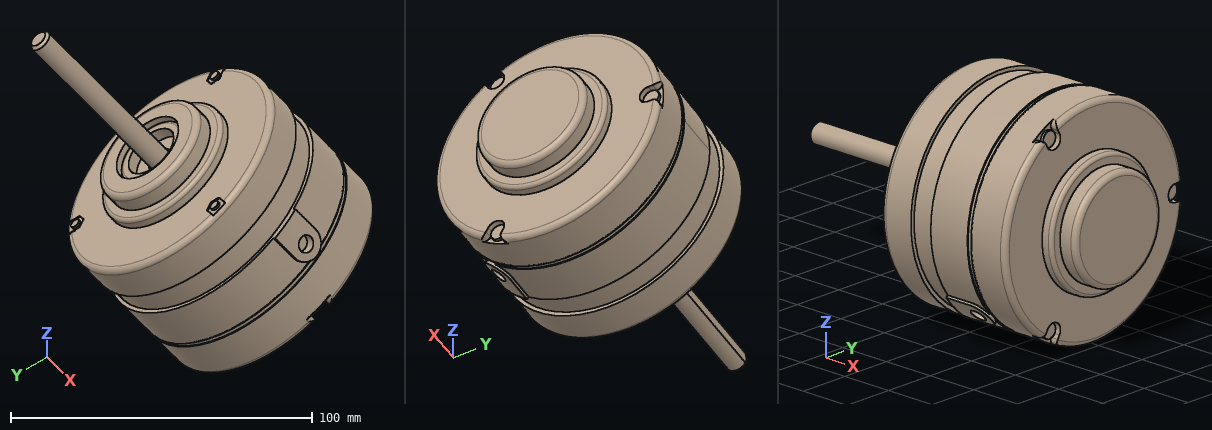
import cadquery as cq
import math

overall_length = 138.3
motor_front = 59.2

body_dia = 86.0
boss_dia = 41.5
collar_dia = 50.0
collar_height = 4.1
body_front = 70.5
body_rear = 127.2
body_fillet = 2.1
boss_fillet = 2.1
collar_fillet = 1.4

band_start = 84.2
band_end = 93.4
band_dia = 83.0
seam_start = 110.1
seam_end = 111.7
seam_dia = 85.2

recess_dia = 26.0
recess_depth = 2.0
bearing_fillet = 1.1
bearing_bore_dia = 19.0
bearing_bore_depth = 4.4
shaft_clearance_dia = 9.0
shaft_clearance_depth = 1.4

shaft_dia = 8.0
shaft_chamfer = 1.04
flat_length = 46.5
flat_depth = 0.7

bolt_circle_radius = 39.0
bolt_angles = (0, 120, 240)
bolt_dia = 3.3
bolt_protrusion = 0.4
nut_width = 5.8
nut_pocket_depth = 0.4
head_pocket_width = 6.6
head_pocket_lip = 2.1
head_pocket_depth = 3.0
head_dia = 6.0
head_height = 1.1

tab_angle = 224
tab_width = 12.3
tab_thickness = 1.0
tab_hole_dia = 6.0
tab_hole_x = 104.3
tab_hole_depth = 3.7

body_radius = body_dia / 2
clearance = 1.4


def disc(start, end, diameter):
    """Solid cylinder along X between two X positions."""
    return cq.Workplane("YZ", origin=(start, 0, 0)).circle(diameter / 2).extrude(end - start)


def ring(start, end, inner_dia, outer_dia):
    """Tube along X between two X positions."""
    return disc(start, end, outer_dia).cut(disc(start, end, inner_dia))


def turned_about_axis(shape, angle):
    """Turn a shape built on the +Y side about the motor axis."""
    return shape.rotate((0, 0, 0), (1, 0, 0), angle)


def make_housing():
    body = disc(body_front, body_rear, body_dia).edges().fillet(body_fillet)
    collars = disc(body_front - collar_height, body_rear + collar_height, collar_dia)
    bosses = disc(motor_front, overall_length, boss_dia)
    housing = body.union(collars.edges().fillet(collar_fillet))
    housing = housing.union(bosses.edges().fillet(boss_fillet))
    clear_dia = body_dia + 2 * clearance
    housing = housing.cut(ring(band_start, band_end, band_dia, clear_dia))
    return housing.cut(ring(seam_start, seam_end, seam_dia, clear_dia))


def make_bearing_recess():
    bearing_face = motor_front + recess_depth
    bore_floor = bearing_face + bearing_bore_depth
    clearance_floor = bore_floor + shaft_clearance_depth
    recess = disc(motor_front, bearing_face + bearing_fillet, recess_dia)
    bearing_edge = disc(bearing_face, bore_floor, recess_dia).faces("<X").edges().fillet(bearing_fillet)
    recess = recess.cut(bearing_edge)
    recess = recess.union(disc(motor_front, bore_floor, bearing_bore_dia))
    return recess.union(disc(motor_front, clearance_floor, shaft_clearance_dia))


def make_shaft():
    shaft = disc(0, body_front, shaft_dia).faces("<X").edges().chamfer(shaft_chamfer)
    flat = cq.Workplane("XY").box(flat_length, flat_depth, shaft_dia, centered=(False, False, True))
    return shaft.cut(flat.translate((0, shaft_dia / 2 - flat_depth, 0)))


def make_nut_pocket():
    plane = cq.Workplane("YZ", origin=(body_front, bolt_circle_radius, 0))
    hexagon = plane.polygon(6, nut_width / math.cos(math.radians(30))).extrude(nut_pocket_depth)
    mouth = plane.rect(body_radius, nut_width).extrude(nut_pocket_depth)
    return hexagon.union(mouth.translate((0, body_radius / 2, 0)))


def make_head_pocket():
    floor_x = body_rear - head_pocket_depth
    half_width = head_pocket_width / 2
    lip_offset = half_width + head_pocket_lip
    lip_reach = math.sqrt((body_radius - head_pocket_lip) ** 2 - lip_offset ** 2)
    lip_turn = math.asin(lip_offset / (body_radius - head_pocket_lip))
    rim = (body_radius * math.cos(lip_turn), body_radius * math.sin(lip_turn))
    lip_mid = (
        lip_reach + head_pocket_lip * math.sin(lip_turn / 2 + math.pi / 4),
        lip_offset - head_pocket_lip * math.cos(lip_turn / 2 + math.pi / 4),
    )
    outside = body_radius + clearance
    return (
        cq.Workplane("YZ", origin=(floor_x, 0, 0))
        .moveTo(bolt_circle_radius, half_width)
        .lineTo(lip_reach, half_width)
        .threePointArc(lip_mid, rim)
        .lineTo(outside, rim[1])
        .lineTo(outside, -rim[1])
        .lineTo(rim[0], -rim[1])
        .threePointArc((lip_mid[0], -lip_mid[1]), (lip_reach, -half_width))
        .lineTo(bolt_circle_radius, -half_width)
        .threePointArc((bolt_circle_radius - half_width, 0), (bolt_circle_radius, half_width))
        .close()
        .extrude(head_pocket_depth)
    )


def make_bolt():
    head_seat = body_rear - head_pocket_depth
    stem = disc(body_front - bolt_protrusion, head_seat, bolt_dia)
    head = disc(head_seat, head_seat + head_height, head_dia)
    return stem.union(head).translate((0, bolt_circle_radius, 0))


def make_tab():
    tab_radius = body_radius + tab_thickness
    plane = cq.Workplane("XZ")
    outline = plane.center(tab_hole_x, 0).circle(tab_width / 2).extrude(-body_dia)
    straight = plane.center((band_end + tab_hole_x) / 2, 0)
    outline = outline.union(straight.rect(tab_hole_x - band_end, tab_width).extrude(-body_dia))
    shell = ring(band_end, overall_length, band_dia, 2 * tab_radius)
    return outline.intersect(shell)


def make_tab_hole():
    floor_radius = body_radius + tab_thickness - tab_hole_depth
    plane = cq.Workplane("XZ", origin=(tab_hole_x, floor_radius, 0))
    return plane.circle(tab_hole_dia / 2).extrude(-body_radius)


result = make_housing().cut(make_bearing_recess()).union(make_shaft())

for angle in bolt_angles:
    result = result.cut(turned_about_axis(make_nut_pocket(), angle))
    result = result.cut(turned_about_axis(make_head_pocket(), angle))
    result = result.union(turned_about_axis(make_bolt(), angle))

result = result.union(turned_about_axis(make_tab(), tab_angle))
result = result.cut(turned_about_axis(make_tab_hole(), tab_angle))